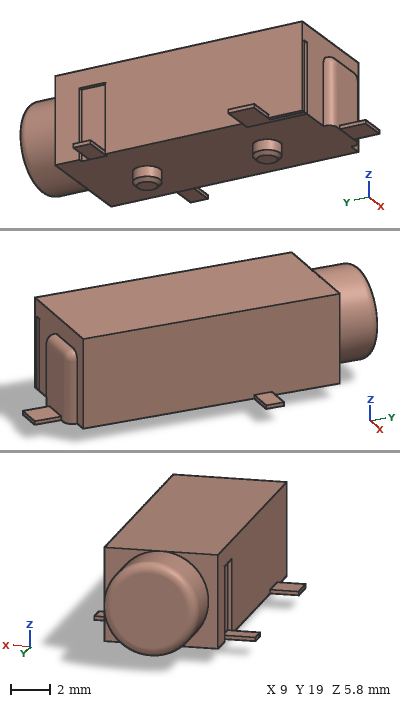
import cadquery as cq

HOUSING_WIDTH = 6.0
HOUSING_LENGTH = 14.44
HOUSING_HEIGHT = 5.0

NOSE_LENGTH = 2.5
NOSE_DIAMETER = HOUSING_HEIGHT
EDGE_RADIUS = 0.5

BOSS_WIDTH = 3.0
BOSS_HEIGHT = 4.0
BOSS_DEPTH = 0.55
BOSS_CENTRE_X = 0.76

PEG_DIAMETER = 1.5
PEG_LENGTH = 0.8
PEG_CHAMFER = 0.2
PEG_CENTRES_Y = (3.69, 10.7)

FOOT_THICKNESS = 0.2
FOOT_REACH = 1.5
WIDE_FOOT = 1.5
NARROW_FOOT = 1.0
REAR_LEFT_FOOT_Y = 11.55
FRONT_LEFT_FOOT_Y = 2.0
RIGHT_FOOT_Y = 9.61

RELIEF_WIDTH = 1.5
RELIEF_DEPTH = 0.23
RELIEF_Y = 11.51

PLATE_THICKNESS = 0.28
PLATE_LENGTH = FRONT_LEFT_FOOT_Y + WIDE_FOOT

LEFT_WALL = -HOUSING_WIDTH / 2
RIGHT_WALL = HOUSING_WIDTH / 2
INNER_LEFT = LEFT_WALL + RELIEF_DEPTH


def block(x, y, width, length, height):
    """Box standing on z = 0 with its lowest X, Y corner at (x, y)."""
    return cq.Workplane("XY").box(width, length, height, centered=False).translate((x, y, 0))


def make_nose():
    return (
        cq.Workplane("XZ", origin=(0, HOUSING_LENGTH, HOUSING_HEIGHT / 2))
        .circle(NOSE_DIAMETER / 2)
        .extrude(-NOSE_LENGTH)
        .faces(">Y")
        .edges()
        .fillet(EDGE_RADIUS)
    )


def make_boss():
    boss = block(BOSS_CENTRE_X - BOSS_WIDTH / 2, -BOSS_DEPTH, BOSS_WIDTH, 2 * BOSS_DEPTH, BOSS_HEIGHT)
    return boss.edges("(<Y and (not <Z)) or (|Y and >Z)").fillet(EDGE_RADIUS)


def make_peg(y):
    return (
        cq.Workplane("XY", origin=(0, y, 0))
        .circle(PEG_DIAMETER / 2)
        .extrude(-PEG_LENGTH)
        .faces("<Z")
        .chamfer(PEG_CHAMFER)
    )


def make_front_left_terminal():
    plate = block(INNER_LEFT, 0, PLATE_THICKNESS, PLATE_LENGTH, BOSS_HEIGHT)
    foot_length = INNER_LEFT - LEFT_WALL + FOOT_REACH
    foot = block(LEFT_WALL - FOOT_REACH, FRONT_LEFT_FOOT_Y, foot_length, WIDE_FOOT, FOOT_THICKNESS)
    return plate.union(foot)


def make_rear_left_terminal():
    foot_length = FOOT_REACH + RELIEF_DEPTH
    return block(LEFT_WALL - FOOT_REACH, REAR_LEFT_FOOT_Y, foot_length, NARROW_FOOT, FOOT_THICKNESS)


def make_right_terminal():
    return block(RIGHT_WALL, RIGHT_FOOT_Y, FOOT_REACH, NARROW_FOOT, FOOT_THICKNESS)


def make_front_terminal():
    foot_x = BOSS_CENTRE_X - WIDE_FOOT / 2
    return block(foot_x, -BOSS_DEPTH - FOOT_REACH, WIDE_FOOT, FOOT_REACH, FOOT_THICKNESS)


def make_housing():
    body = block(LEFT_WALL, 0, HOUSING_WIDTH, HOUSING_LENGTH, HOUSING_HEIGHT)
    body = body.union(make_nose()).union(make_boss())
    for y in PEG_CENTRES_Y:
        body = body.union(make_peg(y))
    relief = block(LEFT_WALL, RELIEF_Y, RELIEF_DEPTH, RELIEF_WIDTH, BOSS_HEIGHT)
    return body.cut(relief).cut(make_front_left_terminal())


housing = make_housing()
front_left_terminal = make_front_left_terminal()
rear_left_terminal = make_rear_left_terminal()
right_terminal = make_right_terminal()
front_terminal = make_front_terminal()

result = cq.Compound.makeCompound([
    housing.solids().val(),
    front_left_terminal.solids().val(),
    rear_left_terminal.val(),
    right_terminal.val(),
    front_terminal.val(),
])